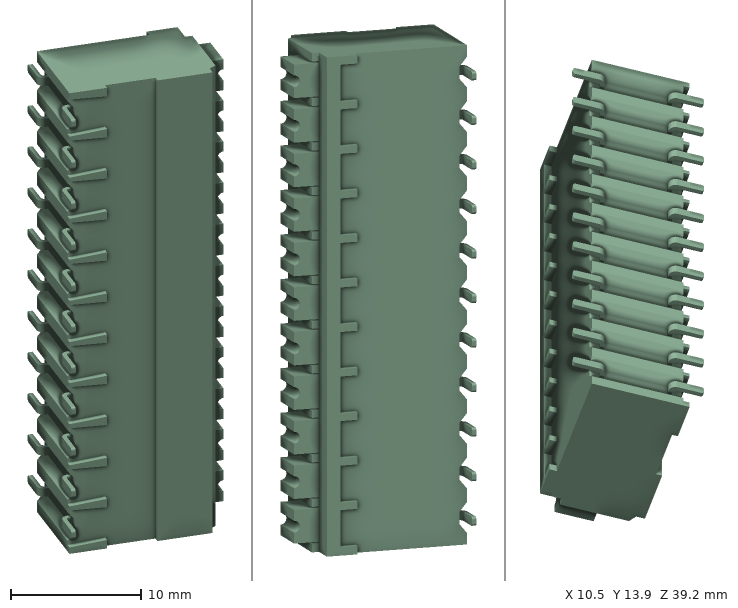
import cadquery as cq


length = 39.2
pole_count = 11
end_to_pole = 2.1
pitch = (length - 2 * end_to_pole) / (pole_count - 1)
poles = [end_to_pole + i * pitch for i in range(pole_count)]

front_y = 0.215
shoulder_y = 11.8
back_y = 12.4
side_x = 3.7
flange_x = 4.27
right_x = 4.15
step_x = 2.45
bevel_start_x = 3.05
bevel_end_x = 3.45
recess_front_y = 3.25
recess_back_y = 7.35

flange_front_y = 10.7
tooth_front_y = 9.3
tooth_width = 0.6

foot_front_width = 0.35
foot_back_width = 0.7

groove_floor_y = 0.82
groove_floor_width = 0.98
groove_mouth_width = 2.45

lever_end_y = 13.85
lever_right_x = 0.65
lever_width = 2.63
finger_radius = 0.47

pin_span = 10.5
pin_width = 0.7
pin_thickness = 0.35
bend_radius = 0.6
bend_start_x = 3.15
pin_root = 0.2
tip_radius = 0.2


def box(x0, x1, y0, y1, z_mid, width):
    """Box between two X and two Y limits, centred on z_mid."""
    return (
        cq.Workplane("XY")
        .box(x1 - x0, y1 - y0, width, centered=(False, False, True))
        .translate((x0, y0, z_mid))
    )


def make_housing():
    """Full-length extrusion of the end outline."""
    outline = [
        (-side_x, front_y),
        (right_x, front_y),
        (right_x, recess_front_y),
        (side_x, recess_front_y),
        (side_x, recess_back_y),
        (right_x, recess_back_y),
        (right_x, shoulder_y),
        (bevel_end_x, shoulder_y),
        (bevel_start_x, back_y),
        (-step_x, back_y),
        (-step_x, shoulder_y),
        (-flange_x, shoulder_y),
        (-flange_x, tooth_front_y),
        (-side_x, tooth_front_y),
    ]
    return cq.Workplane("XY").polyline(outline).close().extrude(length)


def tapered_bar(x0, x1, y0, y1, z_mid, width0, width1):
    """Trapezoidal prism along X, width0 wide at y0 and width1 wide at y1."""
    corners = [
        (y0, z_mid - width0 / 2),
        (y1, z_mid - width1 / 2),
        (y1, z_mid + width1 / 2),
        (y0, z_mid + width0 / 2),
    ]
    return cq.Workplane("YZ", origin=(x0, 0, 0)).polyline(corners).close().extrude(x1 - x0)


def front_groove(z_mid):
    return tapered_bar(
        -side_x, right_x, front_y, groove_floor_y, z_mid, groove_mouth_width, groove_floor_width
    )


def foot_gap(z_mid):
    """Gap between neighbouring feet on the right side."""
    return tapered_bar(
        side_x, right_x, front_y, recess_front_y, z_mid, pitch - foot_front_width, pitch - foot_back_width
    )


def tooth_gap(z_mid):
    """Gap between neighbouring teeth on the left side."""
    return box(-flange_x, -side_x, tooth_front_y, flange_front_y, z_mid, pitch - tooth_width)


def lever_pocket(z_mid):
    return box(-step_x, lever_right_x, shoulder_y, back_y, z_mid, pitch - tooth_width)


def make_lever(z_mid):
    """Push lever with a half-round finger groove along X."""
    lever = box(-step_x, lever_right_x, shoulder_y, lever_end_y, z_mid, lever_width)
    groove = (
        cq.Workplane("YZ", origin=(-step_x, lever_end_y, z_mid))
        .circle(finger_radius)
        .extrude(step_x + lever_right_x)
    )
    return lever.cut(groove)


def make_pin(z_mid):
    """Right-hand solder pin: a flat tail with a round elbow into the groove floor."""
    tip_x = pin_span / 2
    leg_x = bend_start_x - bend_radius
    root_y = groove_floor_y + pin_root
    inner_radius = bend_radius - pin_thickness
    pin = (
        cq.Workplane("XY", origin=(0, 0, z_mid - pin_width / 2))
        .moveTo(tip_x, 0)
        .lineTo(bend_start_x, 0)
        .radiusArc((leg_x, bend_radius), bend_radius)
        .lineTo(leg_x, root_y)
        .lineTo(leg_x + pin_thickness, root_y)
        .lineTo(leg_x + pin_thickness, bend_radius)
        .radiusArc((bend_start_x, pin_thickness), -inner_radius)
        .lineTo(tip_x, pin_thickness)
        .close()
        .extrude(pin_width)
    )
    return pin.faces(">X").edges("|Y").fillet(tip_radius)


result = make_housing()
for z in poles:
    for make_cut in (front_groove, foot_gap, tooth_gap, lever_pocket):
        result = result.cut(make_cut(z))
for z in poles:
    pin = make_pin(z)
    for piece in (make_lever(z), pin, pin.mirror("YZ")):
        result = result.union(piece)